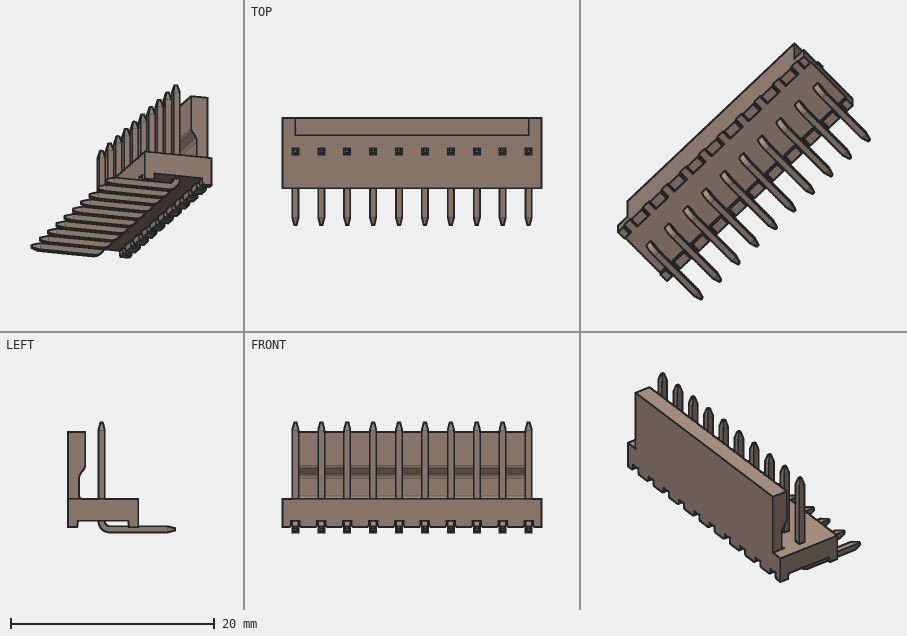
import cadquery as cq
import math


pin_count = 10
pitch = 2.54
row_length = pin_count * pitch
pin_positions = [(i - (pin_count - 1) / 2) * pitch for i in range(pin_count)]

pin_width = 0.64
pin_tip_width = 0.25
taper_length = 0.76
pin_top_z = 7.5
pin_bottom_z = -3.32
pin_front_y = -7.2
bend_inner_radius = 0.5

base_back_y = 3.3
base_depth = 6.9
base_front_y = base_back_y - base_depth
base_bottom_z = -2.78

recess_top_z = -2.16
foot_depth = 0.92
foot_draft = 0.08

slot_width = 0.84
slot_chamfer = 0.15

wall_length = row_length - pitch
wall_top_z = 6.57
wall_thickness = 1.7
neck_thickness = 1.1
slope_upper_z = 3.11
slope_lower_z = 2.24
slope_upper_radius = 0.5
slope_lower_radius = 0.8
wall_root_fillet = 0.3


def extrude_along_row(profile, length):
    """Extrude a closed YZ profile by the given length, centred on X = 0."""
    return profile.extrude(length / 2, both=True)


def make_base():
    recess_back_y = base_back_y - foot_depth
    recess_front_y = base_front_y + foot_depth
    profile = cq.Workplane("YZ").polyline([
        (base_back_y, 0),
        (base_back_y, base_bottom_z),
        (recess_back_y, base_bottom_z),
        (recess_back_y - foot_draft, recess_top_z),
        (recess_front_y + foot_draft, recess_top_z),
        (recess_front_y, base_bottom_z),
        (base_front_y, base_bottom_z),
        (base_front_y, 0),
    ]).close()
    return extrude_along_row(profile, row_length)


def make_slot(x):
    """Slot cutter running through the feet, flared at its mouth."""
    half_width = slot_width / 2
    half_mouth = half_width + slot_chamfer
    flare_z = base_bottom_z + slot_chamfer
    return (
        cq.Workplane("XZ", origin=(x, base_back_y, 0))
        .polyline([
            (-half_width, recess_top_z),
            (-half_width, flare_z),
            (-half_mouth, base_bottom_z),
            (half_mouth, base_bottom_z),
            (half_width, flare_z),
            (half_width, recess_top_z),
        ])
        .close()
        .extrude(base_depth)
    )


def make_wall():
    """Lock wall with a thin neck that slopes out to a thicker head."""
    head_y = base_back_y - wall_thickness
    neck_y = base_back_y - neck_thickness
    profile = cq.Workplane("YZ").polyline([
        (base_back_y, 0),
        (base_back_y, wall_top_z),
        (head_y, wall_top_z),
        (head_y, slope_upper_z),
        (neck_y, slope_lower_z),
        (neck_y, 0),
    ]).close()
    wall = extrude_along_row(profile, wall_length)
    upper_edge = cq.NearestToPointSelector((0, head_y, slope_upper_z))
    lower_edge = cq.NearestToPointSelector((0, neck_y, slope_lower_z))
    wall = wall.edges("|X").edges(upper_edge).fillet(slope_upper_radius)
    return wall.edges("|X").edges(lower_edge).fillet(slope_lower_radius)


def make_wall_root():
    """Concave fillet strip between the neck and the top of the base."""
    neck_y = base_back_y - neck_thickness
    toe_y = neck_y - wall_root_fillet
    reach = wall_root_fillet * (1 - math.sqrt(0.5))
    profile = (
        cq.Workplane("YZ")
        .moveTo(neck_y, 0)
        .lineTo(neck_y, wall_root_fillet)
        .threePointArc((neck_y - reach, reach), (toe_y, 0))
        .close()
    )
    return extrude_along_row(profile, wall_length)


def make_tip(plane):
    """Tapered pin tip growing along the normal of the given plane."""
    return (
        cq.Workplane(plane)
        .rect(pin_width, pin_width)
        .workplane(offset=taper_length)
        .rect(pin_tip_width, pin_tip_width)
        .loft(ruled=True)
    )


def make_pin():
    """One bent pin at X = 0 with a tapered tip at each end."""
    half_width = pin_width / 2
    bend_radius = bend_inner_radius + half_width
    axis_z = pin_bottom_z + half_width
    shank_top_z = pin_top_z - taper_length
    tail_end_y = pin_front_y + taper_length
    bend_reach = bend_radius * (1 - math.sqrt(0.5))
    path = (
        cq.Workplane("YZ")
        .moveTo(0, shank_top_z)
        .lineTo(0, axis_z + bend_radius)
        .threePointArc((-bend_reach, axis_z + bend_reach), (-bend_radius, axis_z))
        .lineTo(tail_end_y, axis_z)
    )
    wire = cq.Workplane("XY", origin=(0, 0, shank_top_z)).rect(pin_width, pin_width).sweep(path)
    top_tip = make_tip(cq.Plane(origin=(0, 0, shank_top_z), xDir=(1, 0, 0), normal=(0, 0, 1)))
    tail_tip = make_tip(cq.Plane(origin=(0, tail_end_y, axis_z), xDir=(1, 0, 0), normal=(0, -1, 0)))
    return wire.union(top_tip).union(tail_tip)


housing = make_base().union(make_wall()).union(make_wall_root())
for pin_x in pin_positions:
    housing = housing.cut(make_slot(pin_x))

pin = make_pin()
result = housing
for pin_x in pin_positions:
    result = result.union(pin.translate((pin_x, 0, 0)))